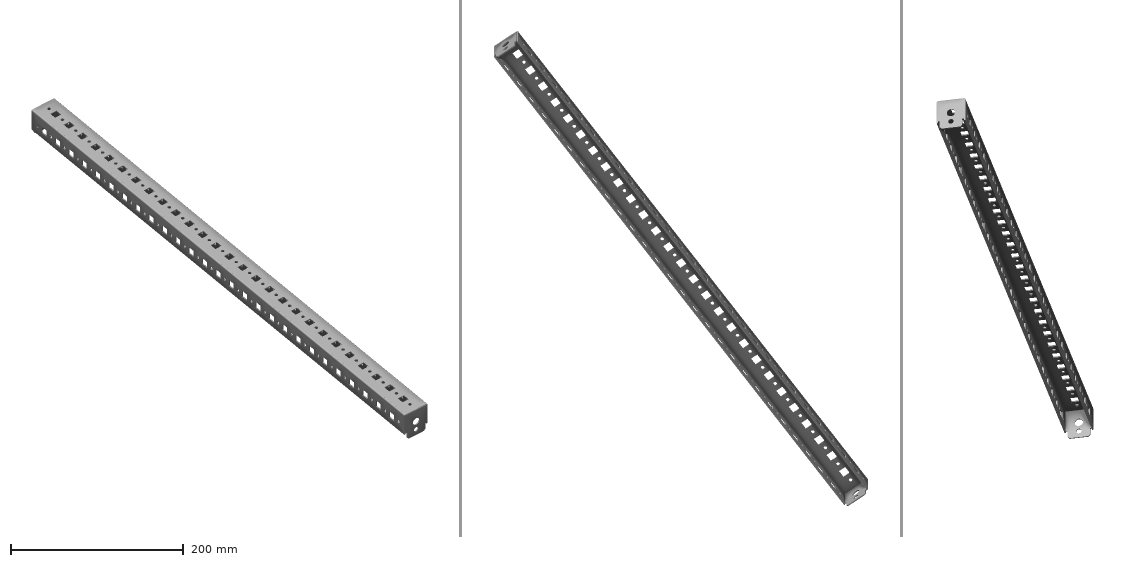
import cadquery as cq

length = 699.0
width = 34.0
height = 38.5
flange_depth = 30.0
sheet = 1.5
bend_radius = 1.75

tab_projection = 1.0
tab_upper_width = width - 2 * sheet
tab_lower_width = 26.5
tab_step_depth = 28.0
tab_corner = 2.0
tab_hole_depth = 18.0
tab_hole_diameter = 10.0
tab_small_hole_depth = 30.0
tab_small_hole_diameter = 6.0

square_count = 27
small_count = square_count + 1
square_row_span = 650.0
pitch = square_row_span / (square_count - 1)
small_diameter = 4.0
side_hole_depth = 17.5
square_size = 9.0


def row_positions(count, offset):
    """Points of evenly pitched holes along X, centred on the rail and offset across the row."""
    return [((i - (count - 1) / 2) * pitch, offset) for i in range(count)]


def rounded_block(size_x, size_y, size_z, axis, radius):
    """Block standing on z = 0 with its two upper edges along the given axis rounded."""
    block = cq.Workplane("XY").box(size_x, size_y, size_z, centered=(True, True, False))
    return block.edges(f"|{axis} and >Z").fillet(radius)


def bent_sheet(size_x, size_y, depth, bend_axis):
    """Sheet folded down along its two edges parallel to bend_axis, top face at the rail height."""
    inner_x = size_x if bend_axis == "X" else size_x - 2 * sheet
    inner_y = size_y if bend_axis == "Y" else size_y - 2 * sheet
    outer = rounded_block(size_x, size_y, depth, bend_axis, bend_radius)
    inner = rounded_block(inner_x, inner_y, depth - sheet, bend_axis, bend_radius - sheet)
    return outer.cut(inner).translate((0, 0, height - depth))


def tab_outline():
    """Prism along X with the end tab outline: stepped sides and chamfered lower corners."""
    half_upper = tab_upper_width / 2
    half_lower = tab_lower_width / 2
    step = height - tab_step_depth
    right_side = [
        (half_upper, height),
        (half_upper, step),
        (half_lower, step),
        (half_lower, tab_corner),
        (half_lower - tab_corner, 0),
    ]
    left_side = [(-y, z) for y, z in reversed(right_side)]
    return cq.Workplane("YZ").polyline(right_side + left_side).close().extrude(length, both=True)


def tab_holes():
    """Two round holes, one above the other, through both end tabs."""
    large = cq.Workplane("YZ").center(0, height - tab_hole_depth).circle(tab_hole_diameter / 2)
    small = cq.Workplane("YZ").center(0, height - tab_small_hole_depth).circle(tab_small_hole_diameter / 2)
    return large.extrude(length, both=True).union(small.extrude(length, both=True))


def side_holes():
    """Square and round holes through both flanges."""
    z = height - side_hole_depth
    squares = cq.Workplane("XZ").pushPoints(row_positions(square_count, z)).rect(square_size, square_size)
    rounds = cq.Workplane("XZ").pushPoints(row_positions(small_count, z)).circle(small_diameter / 2)
    return squares.extrude(width, both=True).union(rounds.extrude(width, both=True))


def web_holes():
    """Square and round holes through the top web."""
    squares = cq.Workplane("XY").pushPoints(row_positions(square_count, 0)).rect(square_size, square_size)
    rounds = cq.Workplane("XY").pushPoints(row_positions(small_count, 0)).circle(small_diameter / 2)
    return squares.extrude(2 * height).union(rounds.extrude(2 * height))


channel = bent_sheet(length - 2 * tab_projection, width, flange_depth, "X")
channel = channel.cut(side_holes())

web_with_tabs = bent_sheet(length, tab_upper_width, height, "Y")
web_with_tabs = web_with_tabs.intersect(tab_outline()).cut(tab_holes())

result = channel.union(web_with_tabs).cut(web_holes())